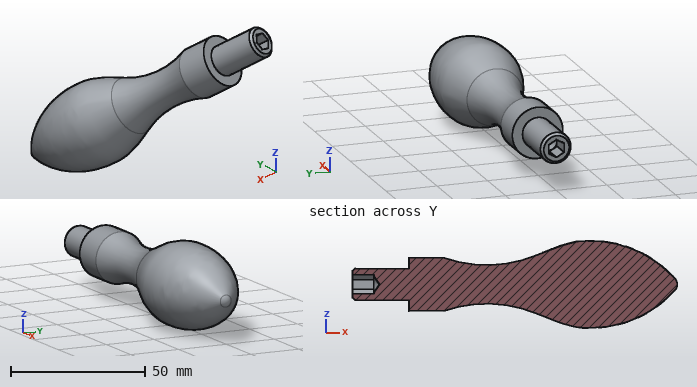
import cadquery as cq
import math

stud_diameter = 12.0
stud_length = 21.0
stud_chamfer = 1.0

collar_diameter = 20.0
collar_length = 13.0

neck_diameter = 14.6
neck_position = 29.0
grip_start = 47.8

grip_diameter = 32.7
grip_position = 66.5
handle_length = 100.0

tip_diameter = 4.6
tip_height = 1.0

hex_across_flats = 6.0
hex_depth = 8.0
hex_cone_angle = 112.0

collar_radius = collar_diameter / 2
neck_radius = neck_diameter / 2
neck_run = neck_position - collar_length
neck_rise = collar_radius - neck_radius
waist_arc_radius = (neck_run**2 + neck_rise**2) / (2 * neck_rise)
grip_run = grip_start - neck_position
waist_end_angle = math.asin(grip_run / waist_arc_radius)
grip_start_radius = neck_radius + waist_arc_radius * (1 - math.cos(waist_end_angle))

grip_radius = grip_diameter / 2
tip_radius = tip_diameter / 2
tip_start = handle_length - tip_height
nose_run = tip_start - grip_position
nose_drop = grip_radius - tip_radius
nose_end_angle = 2 * math.atan(nose_drop / nose_run)

dome_radius = (tip_radius**2 + tip_height**2) / (2 * tip_height)
dome_half_angle = math.asin(tip_radius / dome_radius) / 2
dome_middle = (
    handle_length - dome_radius * (1 - math.cos(dome_half_angle)),
    dome_radius * math.sin(dome_half_angle),
)


def make_handle():
    """Stud, collar, waist and grip as one body turned about the X axis."""
    stud_radius = stud_diameter / 2
    profile = (
        cq.Workplane("XY")
        .moveTo(-stud_length, 0)
        .lineTo(-stud_length, stud_radius - stud_chamfer)
        .lineTo(-stud_length + stud_chamfer, stud_radius)
        .lineTo(0, stud_radius)
        .lineTo(0, collar_radius)
        .lineTo(collar_length, collar_radius)
        .threePointArc((neck_position, neck_radius), (grip_start, grip_start_radius))
        .spline(
            [(grip_start, grip_start_radius), (grip_position, grip_radius), (tip_start, tip_radius)],
            tangents=[
                (math.cos(waist_end_angle), math.sin(waist_end_angle)),
                (1, 0),
                (math.cos(nose_end_angle), -math.sin(nose_end_angle)),
            ],
        )
        .threePointArc(dome_middle, (handle_length, 0))
        .close()
    )
    return profile.revolve(360, (0, 0, 0), (1, 0, 0))


def make_hex_socket():
    """Hexagon socket with corners up and down, with a drill point as wide as the flats in its floor."""
    across_corners = hex_across_flats / math.cos(math.pi / 6)
    drill_radius = hex_across_flats / 2
    cone_height = drill_radius / math.tan(math.radians(hex_cone_angle / 2))
    socket_floor = hex_depth - stud_length
    prism = (
        cq.Workplane("YZ", origin=(-stud_length, 0, 0))
        .transformed(rotate=(0, 0, 90))
        .polygon(6, across_corners)
        .extrude(hex_depth)
    )
    drill_point = (
        cq.Workplane("XY")
        .moveTo(socket_floor, 0)
        .lineTo(socket_floor, drill_radius)
        .lineTo(socket_floor + cone_height, 0)
        .close()
        .revolve(360, (0, 0, 0), (1, 0, 0))
    )
    return prism.union(drill_point)


result = make_handle().cut(make_hex_socket())